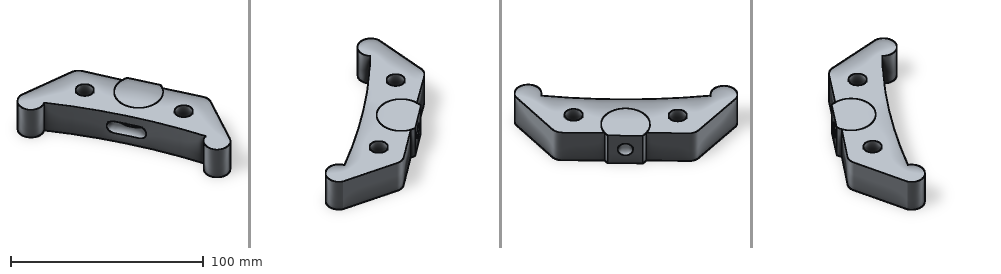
import cadquery as cq
import math

thickness = 19.05

pivot_radius = 12.7
pivot_flat_y = 8.89
cross_hole_diameter = 7.95

foot_radius = 6.985
foot_x = 50.76
foot_y = -24.255

back_y = 6.8
back_left_dip = 0.3
slant_angle = 53.13
slant_start_angle = 26.0
back_corner_radius = 6.35

front_arc_radius = 325.0
front_arc_x = 3.2
front_arc_peak_y = -19.96

bolt_hole_diameter = 9.53
bolt_hole_x = 26.99
bolt_hole_y = -7.3

slot_length = 21.45
slot_height = cross_hole_diameter

slant_start_x = foot_x + foot_radius * math.cos(math.radians(slant_start_angle))
slant_start_y = foot_y + foot_radius * math.sin(math.radians(slant_start_angle))
slant_slope = math.tan(math.radians(slant_angle))
back_corner_x = slant_start_x - (back_y - slant_start_y) / slant_slope
front_y = foot_y - foot_radius
slant_end_x = slant_start_x + (slant_start_y - front_y) / slant_slope


def make_plate():
    """Trapezoid plate with rounded back corners and a concave front."""
    outline = [
        (-foot_x, foot_y),
        (-slant_start_x, slant_start_y),
        (-back_corner_x, back_y),
        (-pivot_radius, back_y - back_left_dip),
        (0, back_y - back_left_dip),
        (0, back_y),
        (back_corner_x, back_y),
        (slant_start_x, slant_start_y),
        (foot_x, foot_y),
    ]
    plate = cq.Workplane("XY").polyline(outline).close().extrude(thickness)
    for side in (-1, 1):
        corner = cq.selectors.NearestToPointSelector((side * back_corner_x, back_y, thickness / 2))
        plate = plate.edges("|Z").edges(corner).fillet(back_corner_radius)
    front_cutter = (
        cq.Workplane("XY")
        .center(front_arc_x, front_arc_peak_y - front_arc_radius)
        .circle(front_arc_radius)
        .extrude(thickness)
    )
    return plate.cut(front_cutter)


def make_feet():
    """Round feet, shaved slightly where the slanted sides pass over them."""
    trim_outline = [
        (-slant_end_x, front_y),
        (-back_corner_x, back_y),
        (back_corner_x, back_y),
        (slant_end_x, front_y),
    ]
    trim_block = cq.Workplane("XY").polyline(trim_outline).close().extrude(thickness)
    feet = (
        cq.Workplane("XY")
        .pushPoints([(-foot_x, foot_y), (foot_x, foot_y)])
        .circle(foot_radius)
        .extrude(thickness)
    )
    return feet.intersect(trim_block)


def make_slot_cutter():
    """Rounded slot running from the front face back to the pivot axis."""
    return (
        cq.Workplane("XZ")
        .center(0, thickness / 2)
        .slot2D(slot_length, slot_height)
        .extrude(-front_y)
    )


def make_housing():
    bolt_holes = (
        cq.Workplane("XY")
        .pushPoints([(-bolt_hole_x, bolt_hole_y), (bolt_hole_x, bolt_hole_y)])
        .circle(bolt_hole_diameter / 2)
        .extrude(thickness)
    )
    pivot_bore = cq.Workplane("XY").circle(pivot_radius).extrude(thickness)
    housing = make_plate().union(make_feet())
    return housing.cut(bolt_holes).cut(pivot_bore).cut(make_slot_cutter())


def make_pivot():
    flat_half_width = math.sqrt(pivot_radius**2 - pivot_flat_y**2)
    barrel = (
        cq.Workplane("XY")
        .moveTo(-flat_half_width, pivot_flat_y)
        .threePointArc((0, -pivot_radius), (flat_half_width, pivot_flat_y))
        .close()
        .extrude(thickness)
    )
    cross_hole = (
        cq.Workplane("XZ")
        .center(0, thickness / 2)
        .circle(cross_hole_diameter / 2)
        .extrude(pivot_radius, both=True)
    )
    return barrel.cut(cross_hole)


housing = make_housing()
pivot = make_pivot()
result = cq.Compound.makeCompound([housing.solids().val(), pivot.solids().val()])